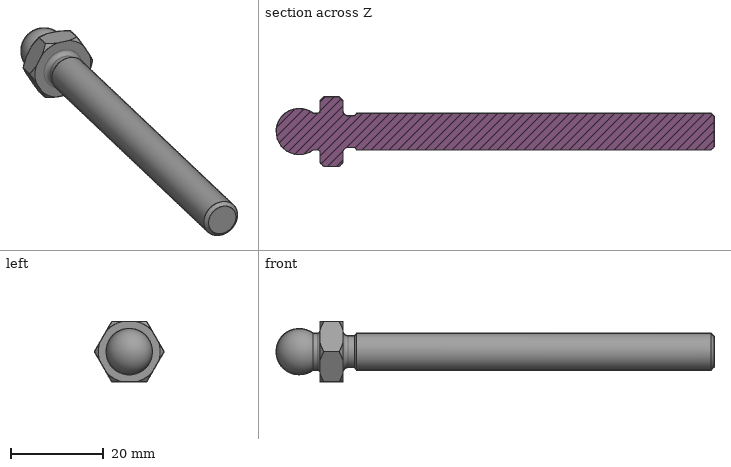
import cadquery as cq
import math

total_length = 94.5
ball_diameter = 10.0
rod_diameter = 8.0
hex_across_flats = 13.0
hex_start = 9.45
hex_thickness = 5.0
hex_face_diameter = 13.3
neck_fillet = 0.5
relief_diameter = 6.9
relief_fillet = 1.0
relief_end = 16.9
rod_start = 17.4
end_chamfer = 0.8

ball_radius = ball_diameter / 2
rod_radius = rod_diameter / 2
relief_radius = relief_diameter / 2
hex_end = hex_start + hex_thickness
hex_across_corners = hex_across_flats / math.cos(math.pi / 6)
hex_face_radius = hex_face_diameter / 2
corner_chamfer = hex_across_corners / 2 - hex_face_radius
neck_start = ball_radius + math.sqrt(ball_radius**2 - rod_radius**2)


def make_shaft():
    """Revolve the ball, neck, thread relief and rod as one profile."""
    return (
        cq.Workplane("XY")
        .moveTo(0, 0)
        .threePointArc((ball_radius, ball_radius), (neck_start, rod_radius))
        .lineTo(hex_start - neck_fillet, rod_radius)
        .radiusArc((hex_start, rod_radius + neck_fillet), -neck_fillet)
        .lineTo(hex_end, relief_radius + relief_fillet)
        .radiusArc((hex_end + relief_fillet, relief_radius), -relief_fillet)
        .lineTo(relief_end, relief_radius)
        .lineTo(rod_start, rod_radius)
        .lineTo(total_length - end_chamfer, rod_radius)
        .lineTo(total_length, rod_radius - end_chamfer)
        .lineTo(total_length, 0)
        .close()
        .revolve(360, (0, 0, 0), (1, 0, 0))
    )


def make_hex():
    """Hexagon with corners on Y, its corners turned down on both faces."""
    blank = (
        cq.Workplane("YZ", origin=(hex_start, 0, 0))
        .polygon(6, hex_across_corners)
        .extrude(hex_thickness)
    )
    turned = (
        cq.Workplane("YZ", origin=(hex_start, 0, 0))
        .circle(hex_across_corners / 2)
        .extrude(hex_thickness)
        .edges()
        .chamfer(corner_chamfer)
    )
    return blank.intersect(turned)


stud = make_shaft().union(make_hex())
result = stud.translate((-total_length / 2, 0, 0))